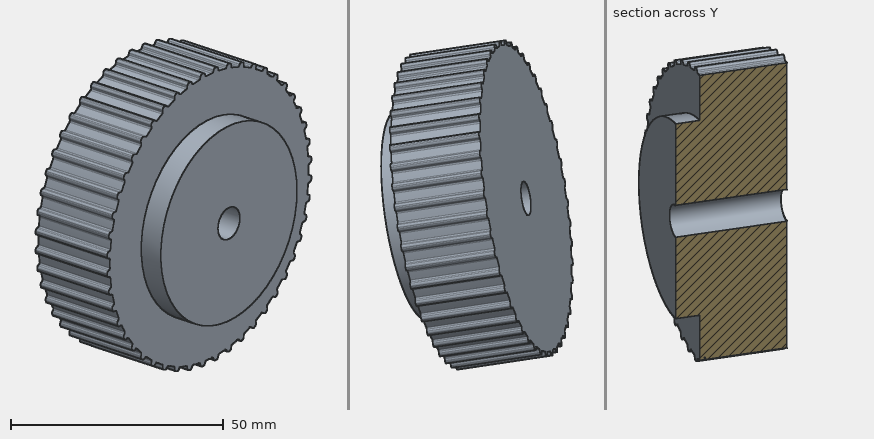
import cadquery as cq
import math

overall_height = 75.0
rim_width = 22.0
hub_length = 6.0
hub_diameter = 50.0
bore_diameter = 8.0

tooth_count = 48
root_radius = 36.5
tooth_width = 2.1
flank_slope = math.radians(20)
tip_round = 0.7
root_fillet = 0.41

pitch_angle = 2 * math.pi / tooth_count
half_pitch = pitch_angle / 2


def from_flank(distance, rise):
    """Point (across, along a tooth) from its distance square to the flank and its rise along it."""
    return (
        distance * math.cos(flank_slope) - rise * math.sin(flank_slope),
        distance * math.sin(flank_slope) + rise * math.cos(flank_slope),
    )


flank_distance = tooth_width / 2 * math.cos(flank_slope) + root_radius * math.sin(flank_slope)

tip_distance = flank_distance - tip_round
corner_lean = half_pitch + flank_slope
tip_rise = (
    overall_height / 2 - tip_round - tip_distance * math.sin(corner_lean)
) / math.cos(corner_lean)
tip_center = from_flank(tip_distance, tip_rise)
tip_radius = math.hypot(*tip_center) + tip_round

root_distance = flank_distance + root_fillet
root_rise = math.sqrt((root_radius + root_fillet) ** 2 - root_distance**2)
root_center = from_flank(root_distance, root_rise)

tip_turn = math.atan2(*tip_center)
root_turn = math.atan2(*root_center)


def round_point(center, radius, direction):
    """Point on a rounding arc, its direction measured from the centre line of the tooth."""
    return (center[0] + radius * math.sin(direction), center[1] + radius * math.cos(direction))


flank_normal = math.pi / 2 - flank_slope
tip_middle = round_point(tip_center, tip_round, (tip_turn + flank_normal) / 2)
flank_top = from_flank(flank_distance, tip_rise)
flank_bottom = from_flank(flank_distance, root_rise)
root_middle = round_point(root_center, -root_fillet, (root_turn + flank_normal) / 2)


def polar(radius, angle):
    """Point at a radius and an angle from the Y axis."""
    return (radius * math.cos(angle), radius * math.sin(angle))


def add_tooth(outline, angle):
    """Extend the outline over the tooth at an angle and the groove floor that follows it."""

    def leading(point):
        return polar(math.hypot(*point), angle + math.atan2(*point))

    def trailing(point):
        return polar(math.hypot(*point), angle - math.atan2(*point))

    floor_end = angle + pitch_angle - root_turn
    return (
        outline.threePointArc(trailing(root_middle), trailing(flank_bottom))
        .lineTo(*trailing(flank_top))
        .threePointArc(trailing(tip_middle), polar(tip_radius, angle - tip_turn))
        .threePointArc(polar(tip_radius, angle), polar(tip_radius, angle + tip_turn))
        .threePointArc(leading(tip_middle), leading(flank_top))
        .lineTo(*leading(flank_bottom))
        .threePointArc(leading(root_middle), polar(root_radius, angle + root_turn))
        .threePointArc(polar(root_radius, angle + half_pitch), polar(root_radius, floor_end))
    )


def toothed_rim():
    """Rim with all its teeth, drawn as one closed outline and extruded along X."""
    outline = cq.Workplane("YZ").moveTo(*polar(root_radius, half_pitch - root_turn))
    for tooth in range(tooth_count):
        outline = add_tooth(outline, half_pitch + tooth * pitch_angle)
    return outline.close().extrude(rim_width)


hub = cq.Workplane("YZ").workplane(offset=rim_width).circle(hub_diameter / 2).extrude(hub_length)
bore = cq.Workplane("YZ").circle(bore_diameter / 2).extrude(rim_width + hub_length)

result = toothed_rim().union(hub).cut(bore)